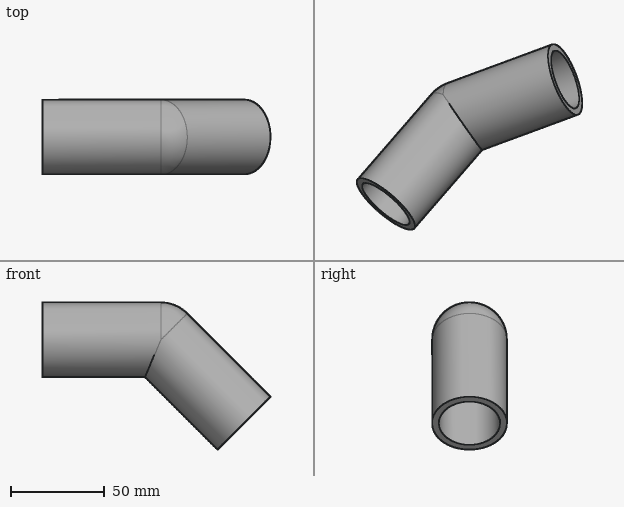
import cadquery as cq

outer_diameter = 40.0
bore_diameter = 32.6
leg_length = 63.0
bend_angle = 45.0


def leg(diameter):
    """Cylinder running from the knuckle centre along +X."""
    return cq.Workplane("YZ").circle(diameter / 2).extrude(leg_length)


def elbow_body(diameter):
    """Solid elbow: inlet along -X, outlet tilted down, ball at the bend."""
    inlet = leg(diameter).rotate((0, 0, 0), (0, 0, 1), 180)
    outlet = leg(diameter).rotate((0, 0, 0), (0, 1, 0), bend_angle)
    knuckle = cq.Workplane("XY").sphere(diameter / 2)
    return inlet.union(outlet).union(knuckle)


result = elbow_body(outer_diameter).cut(elbow_body(bore_diameter))